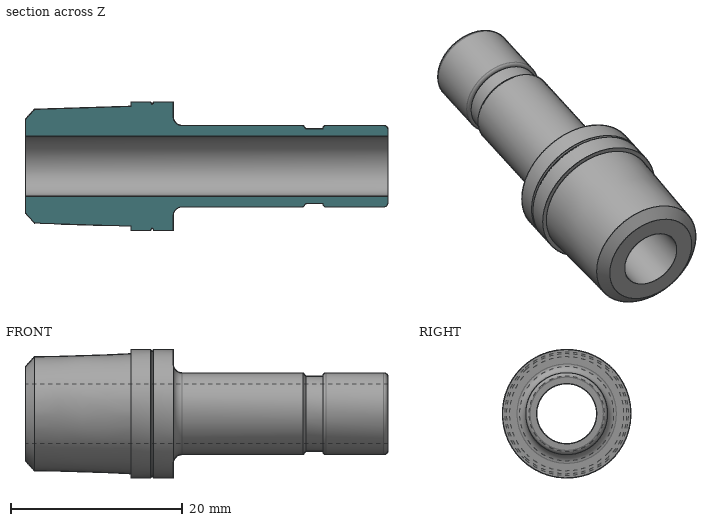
import math

import cadquery as cq

total_length = 42.3
bore_diameter = 7.0

nose_face_diameter = 11.0
nose_chamfer_length = 1.05
nose_start_diameter = 13.32
nose_taper = 1 / 16

flange_diameter = 15.0
flange_start = 12.3
flange_length = 4.95
rim_groove_width = 0.35
rim_groove_depth = 0.3

stem_diameter = 9.55
flange_fillet = 1.0
stem_end_round = 0.5

stem_groove_depth = 0.4
stem_groove_start = 32.4
stem_groove_end = 35.05
stem_groove_slope_length = 0.3

flange_end = flange_start + flange_length
flange_middle = flange_start + flange_length / 2
flange_radius = flange_diameter / 2
nose_end_diameter = nose_start_diameter + nose_taper * (flange_start - nose_chamfer_length)
stem_radius = stem_diameter / 2


def arc_middle(center, radius, angle):
    """Point on a circle, with the angle in degrees from the +X direction."""
    x = center[0] + radius * math.cos(math.radians(angle))
    y = center[1] + radius * math.sin(math.radians(angle))
    return (x, y)


def add_nose(profile):
    """Front face, lead-in chamfer and taper, ending at the flange."""
    return (
        profile.moveTo(0, 0)
        .lineTo(0, nose_face_diameter / 2)
        .lineTo(nose_chamfer_length, nose_start_diameter / 2)
        .lineTo(flange_start, nose_end_diameter / 2)
    )


def add_flange(profile):
    """Flange rim with its V groove, then the concave fillet down to the stem."""
    fillet_center = (flange_end + flange_fillet, stem_radius + flange_fillet)
    return (
        profile.lineTo(flange_start, flange_radius)
        .lineTo(flange_middle - rim_groove_width / 2, flange_radius)
        .lineTo(flange_middle, flange_radius - rim_groove_depth)
        .lineTo(flange_middle + rim_groove_width / 2, flange_radius)
        .lineTo(flange_end, flange_radius)
        .lineTo(flange_end, fillet_center[1])
        .threePointArc(arc_middle(fillet_center, flange_fillet, 225), (fillet_center[0], stem_radius))
    )


def add_stem(profile):
    """Stem with its retaining groove and rounded free end, closed along the axis."""
    floor_radius = stem_radius - stem_groove_depth
    floor_start = stem_groove_start + stem_groove_slope_length
    floor_end = stem_groove_end - stem_groove_depth
    end_round_center = (total_length - stem_end_round, stem_radius - stem_end_round)
    rim_middle = arc_middle((stem_groove_end, floor_radius), stem_groove_depth, 135)
    return (
        profile.lineTo(stem_groove_start, stem_radius)
        .lineTo(floor_start, floor_radius)
        .lineTo(floor_end, floor_radius)
        .threePointArc(rim_middle, (stem_groove_end, stem_radius))
        .lineTo(end_round_center[0], stem_radius)
        .threePointArc(
            arc_middle(end_round_center, stem_end_round, 45), (total_length, end_round_center[1])
        )
        .lineTo(total_length, 0)
        .close()
    )


half_profile = add_stem(add_flange(add_nose(cq.Workplane("XY"))))
body = half_profile.revolve(360, (0, 0, 0), (1, 0, 0))
bore = cq.Workplane("YZ").circle(bore_diameter / 2).extrude(total_length)

result = body.cut(bore).translate((-total_length / 2, 0, 0))